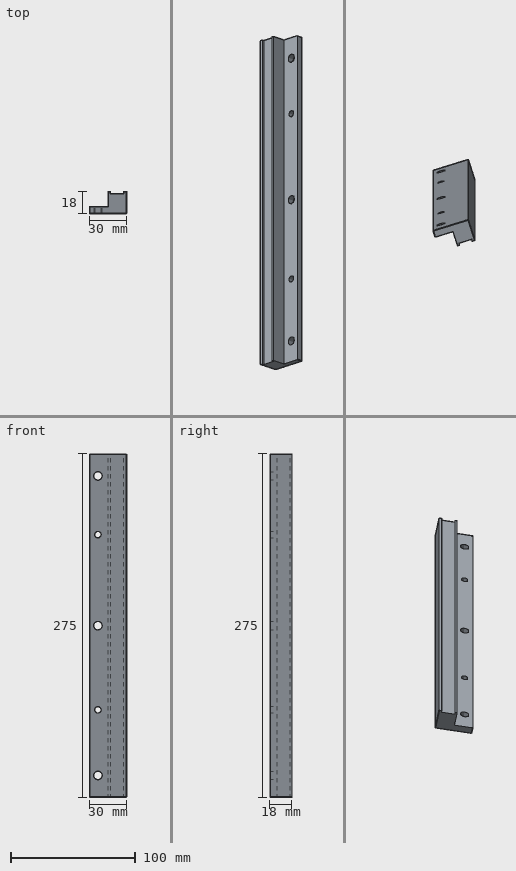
import cadquery as cq

width = 30.0
depth = 18.0
length = 275.0

flange_thickness = 5.8
rail_width = 14.8
edge_chamfer = 0.5

channel_depth = 1.6
left_lip = 1.6
right_lip = 2.5

hole_x = 7.0
large_diameter = 6.5
small_diameter = 5.0
large_hole_spacing = 120.0
small_hole_heights = (70.0, 210.5)


def make_section_bar():
    rail_x = width - rail_width
    channel_floor = depth - channel_depth
    return (
        cq.Workplane("XY")
        .moveTo(0, 0)
        .lineTo(width, 0)
        .lineTo(width, depth)
        .lineTo(width - right_lip, depth)
        .lineTo(width - right_lip, channel_floor)
        .lineTo(rail_x + left_lip, channel_floor)
        .lineTo(rail_x + left_lip, depth)
        .lineTo(rail_x, depth)
        .lineTo(rail_x, flange_thickness)
        .lineTo(0, flange_thickness)
        .close()
        .extrude(length)
    )


def chamfer_outer_edges(bar):
    """Bevel every edge around the front face and the two side faces' end edges."""
    front_edges = bar.faces("<Y").edges()
    end_side_edges = bar.faces("<Z or >Z").edges("<X or >X")
    return bar.newObject(front_edges.vals() + end_side_edges.vals()).chamfer(edge_chamfer)


def make_holes(diameter, heights):
    return (
        cq.Workplane("XZ")
        .pushPoints([(hole_x, height) for height in heights])
        .circle(diameter / 2)
        .extrude(-flange_thickness)
    )


middle = length / 2
large_hole_heights = (middle - large_hole_spacing, middle, middle + large_hole_spacing)

result = chamfer_outer_edges(make_section_bar())
result = result.cut(make_holes(large_diameter, large_hole_heights))
result = result.cut(make_holes(small_diameter, small_hole_heights))